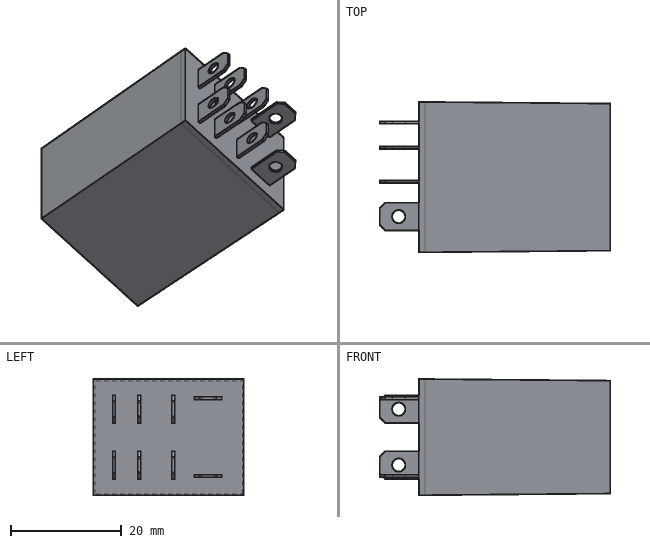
import cadquery as cq
import math

total_length = 41.7
housing_width = 27.2
housing_height = 21.0

terminal_length = 7.1
base_thickness = 1.1
draft_angle = 0.5

blade_width = 5.05
blade_thickness = 0.5
tip_chamfer = 1.05
hole_diameter = 2.35
hole_from_tip = 3.45

upright_blade_ys = (9.85, 5.3, -0.85)
upright_blade_z = 5.05
flat_blade_y = -7.15
flat_blade_z = 7.0


def make_base():
    """Plate that carries the terminals."""
    return (
        cq.Workplane("YZ", origin=(terminal_length, 0, 0))
        .rect(housing_width, housing_height)
        .extrude(base_thickness)
    )


def make_cover():
    """Box that narrows evenly on all four sides toward +X."""
    cover_start = terminal_length + base_thickness
    cover_length = total_length - cover_start
    end_reduction = 2 * cover_length * math.tan(math.radians(draft_angle))
    return (
        cq.Workplane("YZ", origin=(cover_start, 0, 0))
        .rect(housing_width, housing_height)
        .workplane(offset=cover_length)
        .rect(housing_width - end_reduction, housing_height - end_reduction)
        .loft(ruled=True)
    )


def make_flat_blade():
    """Blade lying in the XY plane with a chamfered tip and a through hole."""
    return (
        cq.Workplane("XY")
        .box(terminal_length, blade_width, blade_thickness, centered=(False, True, True))
        .edges("|Z and <X")
        .chamfer(tip_chamfer)
        .faces(">Z")
        .workplane(origin=(hole_from_tip, 0, 0))
        .hole(hole_diameter)
    )


flat_blade = make_flat_blade()
upright_blade = flat_blade.rotate((0, 0, 0), (1, 0, 0), 90)

result = make_base().union(make_cover())
for side in (-1, 1):
    result = result.union(flat_blade.translate((0, flat_blade_y, side * flat_blade_z)))
    for blade_y in upright_blade_ys:
        result = result.union(upright_blade.translate((0, blade_y, side * upright_blade_z)))